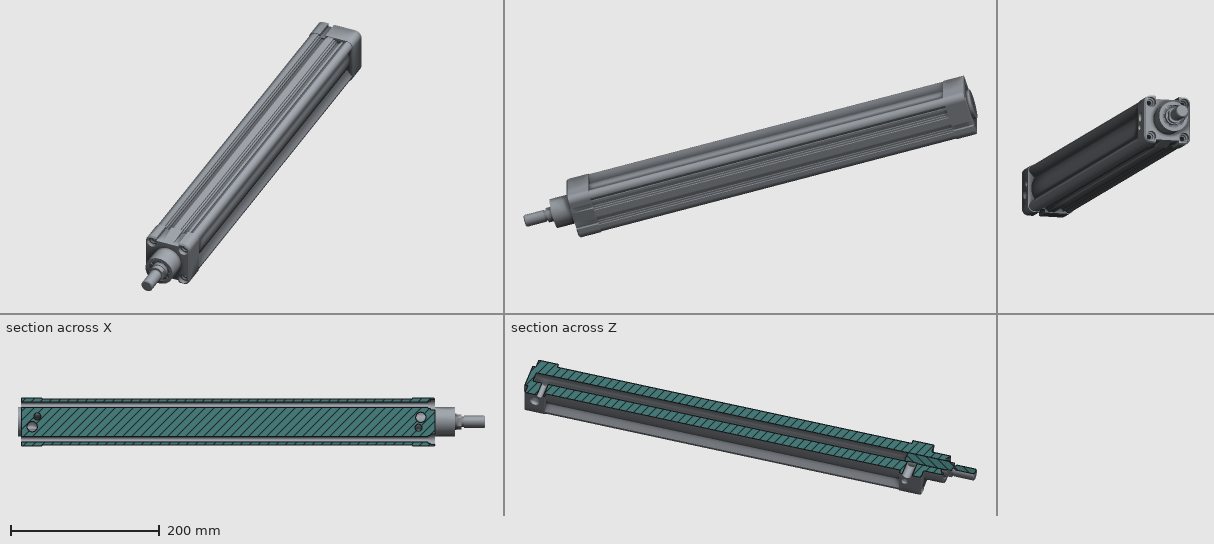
import cadquery as cq
import math


HEAD_WIDTH = 65.0
CORNER_CENTER = 23.0
FRONT_HEAD_LENGTH = 31.0
REAR_CAP_LENGTH = 28.0
HEAD_CHAMFER = 2.0
BOSS_DIAMETER = 40.0
FRONT_BOSS_LENGTH = 27.0
REAR_BOSS_LENGTH = 4.5

TOTAL_LENGTH = 628.0
ROD_OVERHANG = 67.0
REAR_BOSS_END = TOTAL_LENGTH - ROD_OVERHANG
REAR_CAP_END = REAR_BOSS_END - REAR_BOSS_LENGTH
REAR_CAP_START = REAR_CAP_END - REAR_CAP_LENGTH

WIPER_RECESS_RADIUS = 16.0
WIPER_RADIUS = 11.0
WIPER_RECESS_DEPTH = 3.0
WIPER_LIP_LENGTH = 2.0
WIPER_NOTCH_COUNT = 10
WIPER_NOTCH_WIDTH = 4.5
WIPER_NOTCH_DEPTH = 1.0

TUBE_WIDTH = 63.0
BARREL_RADIUS = 27.5
FLANK_OUTER_Z = CORNER_CENTER
FLANK_INNER_Z = 14.5
SLOT_X = 11.0
SLOT_WIDTH = 5.0
SLOT_MOUTH_WIDTH = 14.0
SLOT_FLOOR_Z = 25.0
SLOT_STEPS = 3
BEVEL_OUTER_X = CORNER_CENTER
BEVEL_INNER_X = SLOT_X + SLOT_MOUTH_WIDTH / 2
BEVEL_INNER_Z = 27.5

GROOVE_INNER_X = 8.0
GROOVE_OUTER_X = 16.5
GROOVE_FLOOR_Z = 27.5
PAD_FRONT_HALF_WIDTH = 7.0
PAD_BACK_HALF_WIDTH = GROOVE_INNER_X

SCREW_HOLE_DIAMETER = 6.0
SCREW_RECESS_DIAMETER = 14.0
SCREW_RECESS_DEPTH = 6.0
SCREW_SOCKET_DIAMETER = 10.0
SCREW_SOCKET_DEPTH = 9.5

PORT_DIAMETER = 13.0
PORT_Z = 6.0
VALVE_DIAMETER = 9.0
VALVE_Z = 7.5
FRONT_PORT_Y = 19.5
FRONT_VALVE_Y = 22.5
REAR_PORT_Y = REAR_CAP_END - 14.5
REAR_VALVE_Y = REAR_CAP_END - 21.5

BORE_END_Y = REAR_CAP_END - 4.5
ROD_DIAMETER = 20.0
ROD_FLATS_WIDTH = 17.0
ROD_FLATS_END_Y = -30.0
ROD_SHOULDER_Y = -36.0
THREAD_START_Y = -39.0
THREAD_DIAMETER = 16.5
NECK_DIAMETER = 14.0
TIP_CHAMFER = 1.0


def along_y(start, end):
    """XZ workplane at y = start, and the signed extrusion distance that reaches y = end."""
    return cq.Workplane("XZ", origin=(0, start, 0)), start - end


def cylinder(diameter, start, end):
    plane, distance = along_y(start, end)
    return plane.circle(diameter / 2).extrude(distance)


def bar(points, start, end):
    plane, distance = along_y(start, end)
    return plane.polyline(points).close().extrude(distance)


def rounded_square(width, start, end):
    plane, distance = along_y(start, end)
    block = plane.rect(width, width).extrude(distance)
    return block.edges("|Y").fillet(width / 2 - CORNER_CENTER)


def box(x_range, y_range, z_range):
    size = [high - low for low, high in (x_range, y_range, z_range)]
    corner = (x_range[0], y_range[0], z_range[0])
    return cq.Workplane("XY").box(*size, centered=False).translate(corner)


def with_bottom_copy(shape):
    return shape.union(shape.mirror("XY"))


def profile_tube():
    start, end = FRONT_HEAD_LENGTH, REAR_CAP_START
    half = TUBE_WIDTH / 2
    tube = rounded_square(TUBE_WIDTH, start, end)

    flank_x = math.sqrt(BARREL_RADIUS**2 - FLANK_INNER_Z**2)
    recess = bar(
        [
            (-half, FLANK_OUTER_Z),
            (-flank_x, FLANK_INNER_Z),
            (-flank_x, -FLANK_INNER_Z),
            (-half, -FLANK_OUTER_Z),
        ],
        start,
        end,
    )
    tube = tube.cut(recess).cut(recess.mirror("YZ"))
    tube = tube.union(cylinder(2 * BARREL_RADIUS, start, end))

    for center in (-SLOT_X, SLOT_X):
        for step in range(SLOT_STEPS):
            depth_share = step / (SLOT_STEPS - 1)
            width = SLOT_MOUTH_WIDTH + (SLOT_WIDTH - SLOT_MOUTH_WIDTH) * depth_share
            floor = half + (SLOT_FLOOR_Z - half) * (step + 1) / SLOT_STEPS
            slot = box((center - width / 2, center + width / 2), (start, end), (floor, half))
            tube = tube.cut(with_bottom_copy(slot))

    bevel = bar([(BEVEL_OUTER_X, half), (BEVEL_INNER_X, BEVEL_INNER_Z), (BEVEL_INNER_X, half)], start, end)
    return tube.cut(with_bottom_copy(bevel))


def front_head():
    half = HEAD_WIDTH / 2
    head = rounded_square(HEAD_WIDTH, 0, FRONT_HEAD_LENGTH).faces("<Y").chamfer(HEAD_CHAMFER)

    middle = box((-GROOVE_OUTER_X, GROOVE_OUTER_X), (0, FRONT_HEAD_LENGTH), (GROOVE_FLOOR_Z, half))
    head = head.cut(with_bottom_copy(middle))
    pad = (
        cq.Workplane("XY", origin=(0, 0, GROOVE_FLOOR_Z))
        .polyline([
            (-PAD_FRONT_HALF_WIDTH, 0),
            (PAD_FRONT_HALF_WIDTH, 0),
            (PAD_BACK_HALF_WIDTH, FRONT_HEAD_LENGTH),
            (-PAD_BACK_HALF_WIDTH, FRONT_HEAD_LENGTH),
        ])
        .close()
        .extrude(half - GROOVE_FLOOR_Z)
    )
    slope = (
        cq.Workplane("YZ")
        .polyline([(0, GROOVE_FLOOR_Z), (0, half), (FRONT_HEAD_LENGTH, half)])
        .close()
        .extrude(PAD_BACK_HALF_WIDTH, both=True)
    )
    return head.union(with_bottom_copy(pad.cut(slope)))


def front_boss():
    boss_radius = BOSS_DIAMETER / 2
    face_y = -FRONT_BOSS_LENGTH
    floor_y = face_y + WIPER_RECESS_DEPTH
    boss = (
        cq.Workplane("XY")
        .polyline([
            (0, 0),
            (boss_radius, 0),
            (boss_radius, face_y),
            (WIPER_RECESS_RADIUS, face_y),
            (WIPER_RECESS_RADIUS, floor_y),
            (WIPER_RADIUS, floor_y),
            (WIPER_RADIUS, face_y - WIPER_LIP_LENGTH),
            (0, face_y - WIPER_LIP_LENGTH),
        ])
        .close()
        .revolve(360, (0, 0, 0), (0, 1, 0))
    )

    half_width = WIPER_NOTCH_WIDTH / 2
    notch = box(
        (WIPER_RADIUS, WIPER_RECESS_RADIUS),
        (floor_y, floor_y + WIPER_NOTCH_DEPTH),
        (-half_width, half_width),
    )
    pitch = 360 / WIPER_NOTCH_COUNT
    for index in range(WIPER_NOTCH_COUNT):
        boss = boss.cut(notch.rotate((0, 0, 0), (0, 1, 0), index * pitch))
    return boss


def rear_cap():
    cap = rounded_square(HEAD_WIDTH, REAR_CAP_START, REAR_CAP_END)
    groove = box(
        (-GROOVE_OUTER_X, -GROOVE_INNER_X),
        (REAR_CAP_START, REAR_CAP_END),
        (GROOVE_FLOOR_Z, HEAD_WIDTH / 2),
    )
    cap = cap.cut(with_bottom_copy(groove))
    return cap.union(cylinder(BOSS_DIAMETER, REAR_CAP_END, REAR_BOSS_END))


def side_hole(diameter, y, z):
    """Hole from the -X side in to the cylinder axis."""
    plane = cq.Workplane("YZ", origin=(-HEAD_WIDTH / 2, y, z))
    return plane.circle(diameter / 2).extrude(HEAD_WIDTH / 2)


def make_housing():
    housing = profile_tube().union(front_head()).union(front_boss()).union(rear_cap())

    housing = housing.cut(cylinder(ROD_DIAMETER, -ROD_OVERHANG, BORE_END_Y))

    for diameter, y, z in (
        (PORT_DIAMETER, FRONT_PORT_Y, PORT_Z),
        (VALVE_DIAMETER, FRONT_VALVE_Y, -VALVE_Z),
        (PORT_DIAMETER, REAR_PORT_Y, -PORT_Z),
        (VALVE_DIAMETER, REAR_VALVE_Y, VALVE_Z),
    ):
        housing = housing.cut(side_hole(diameter, y, z))

    hole = cylinder(SCREW_HOLE_DIAMETER, 0, REAR_CAP_END)
    hole = hole.union(cylinder(SCREW_RECESS_DIAMETER, 0, SCREW_RECESS_DEPTH))
    hole = hole.union(cylinder(SCREW_SOCKET_DIAMETER, 0, SCREW_SOCKET_DEPTH))
    for x in (-CORNER_CENTER, CORNER_CENTER):
        for z in (-CORNER_CENTER, CORNER_CENTER):
            housing = housing.cut(hole.translate((x, 0, z)))
    return housing


def make_rod():
    rod = cylinder(ROD_DIAMETER, ROD_SHOULDER_Y, FRONT_HEAD_LENGTH)

    radius = ROD_DIAMETER / 2
    flat = box((ROD_FLATS_WIDTH / 2, radius), (ROD_SHOULDER_Y, ROD_FLATS_END_Y), (-radius, radius))
    rod = rod.cut(flat).cut(flat.mirror("YZ"))

    neck = cylinder(NECK_DIAMETER, THREAD_START_Y, ROD_SHOULDER_Y)
    thread = cylinder(THREAD_DIAMETER, -ROD_OVERHANG, THREAD_START_Y)
    thread = thread.faces("<Y").chamfer(TIP_CHAMFER)
    return rod.union(neck).union(thread)


housing = make_housing()
rod = make_rod()
result = cq.Compound.makeCompound([housing.val(), rod.val()])